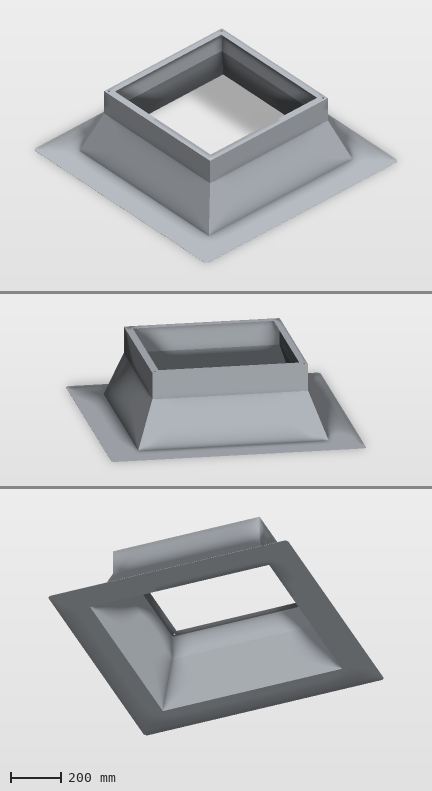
import cadquery as cq

sheet_thickness = 1.0

flange_side = 1030.0
flange_corner_radius = 15.0

total_height = 300.0
collar_height = 110.0
collar_side = 630.0
skirt_base_side = 770.0
skirt_top = total_height - collar_height

opening_side = 570.0
lip_bottom = total_height - sheet_thickness

hole_diameter = 8.0
hole_inset = 13.0
hole_spacing = collar_side - 2 * hole_inset


def square_block(side, bottom, top):
    """Upright square block centred on the Z axis."""
    return cq.Workplane("XY").workplane(offset=bottom).rect(side, side).extrude(top - bottom)


def square_frustum(bottom_side, top_side, bottom, top):
    """Square block tapering evenly from its bottom side to its top side."""
    return (
        cq.Workplane("XY")
        .workplane(offset=bottom)
        .rect(bottom_side, bottom_side)
        .workplane(offset=top - bottom)
        .rect(top_side, top_side)
        .loft(ruled=True)
    )


def make_flange():
    plate = square_block(flange_side, 0, sheet_thickness)
    return plate.edges("|Z").fillet(flange_corner_radius)


def make_curb():
    skirt = square_frustum(skirt_base_side, collar_side, 0, skirt_top)
    collar = square_block(collar_side, skirt_top, total_height)
    return skirt.union(collar)


def make_cavity():
    """Space inside the skin, with the narrower opening through the lip."""
    wall_allowance = 2 * sheet_thickness
    collar_inside = collar_side - wall_allowance
    skirt_inside = square_frustum(skirt_base_side - wall_allowance, collar_inside, 0, skirt_top)
    collar_space = square_block(collar_inside, skirt_top, lip_bottom)
    opening = square_block(opening_side, lip_bottom, total_height)
    return skirt_inside.union(collar_space).union(opening)


def make_fixing_holes():
    return (
        cq.Workplane("XY")
        .workplane(offset=lip_bottom)
        .rect(hole_spacing, hole_spacing, forConstruction=True)
        .vertices()
        .circle(hole_diameter / 2)
        .extrude(sheet_thickness)
    )


result = make_flange().union(make_curb()).cut(make_cavity()).cut(make_fixing_holes())